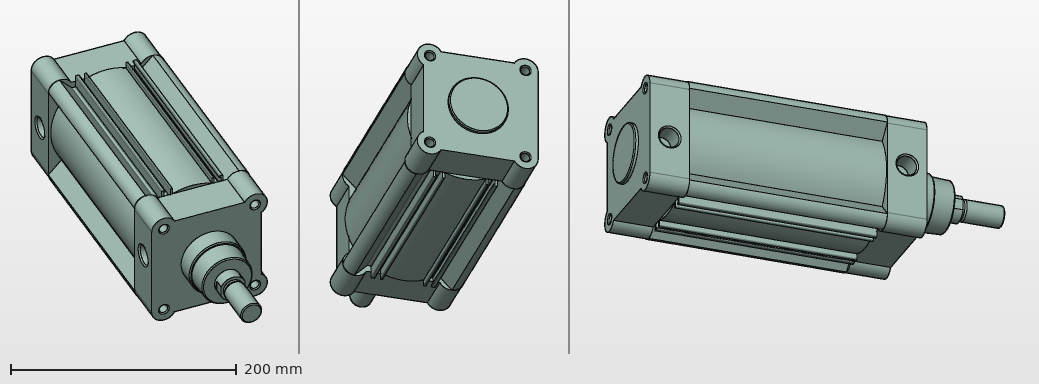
import cadquery as cq
import math


TOLERANCE = 0.05

REAR_BOSS_LENGTH = 3.5
CAP_LENGTH = 37.5
BARREL_LENGTH = 187.5
NOSE_COLLAR_LENGTH = 18.5
NOSE_TAPER_LENGTH = 20.5
TOTAL_LENGTH = 358.0

REAR_CAP_X = REAR_BOSS_LENGTH
BARREL_X = REAR_CAP_X + CAP_LENGTH
FRONT_CAP_X = BARREL_X + BARREL_LENGTH
NOSE_X = FRONT_CAP_X + CAP_LENGTH
TAPER_X = NOSE_X + NOSE_COLLAR_LENGTH
ROD_X = TAPER_X + NOSE_TAPER_LENGTH

SECTION_WIDTH = 112.0
HALF_WIDTH = SECTION_WIDTH / 2
CORNER_SIGNS = [(y_sign, z_sign) for y_sign in (-1, 1) for z_sign in (-1, 1)]

LOBE_RADIUS = 11.8
LOBE_CENTER = HALF_WIDTH - LOBE_RADIUS
CAP_WAIST = 50.0
CORNER_HOLE_DIAMETER = 8.2
CORNER_HOLE_DEPTH = 18.0
PORT_DIAMETER = 18.5
PORT_CHAMFER = 1.5
PORT_DEPTH = 21.5
PORT_OFFSET = 6.0
BOSS_DIAMETER = 55.0
SMALL_CHAMFER = 1.0

TAPER_START_DIAMETER = 51.0
TAPER_END_DIAMETER = 48.7

TUBE_RADIUS = 53.7
COLUMN_RADIUS = 10.7
COLUMN_CENTER = HALF_WIDTH - COLUMN_RADIUS
VALLEY_FILLET = 2.5
RAIL_FLOOR_HEIGHT = 46.5
INNER_RIB_Y = 19.0
INNER_RIB_WIDTH = 2.0
OUTER_RIB_Y = 29.7
OUTER_RIB_WIDTH = 2.0
LIP_WIDTH = 1.5
LIP_HEIGHT = 1.8
RIB_ROOT_HEIGHT = 41.0
RIB_TOP_FILLET = 0.7

ROD_DIAMETER = 25.0
ROD_SHOULDER_LENGTH = 12.0
FLAT_WIDTH = 23.0
FLAT_LENGTH = 9.3
NECK_DIAMETER = 19.0
NECK_LENGTH = 2.5
THREAD_DIAMETER = 20.5
THREAD_LEAD_IN = 1.8


def box(x_range, y_range, z_range):
    """Box between the given limits on each axis."""
    sizes = [high - low for low, high in (x_range, y_range, z_range)]
    corner = (x_range[0], y_range[0], z_range[0])
    return cq.Workplane("XY").box(*sizes, centered=False).translate(corner)


def cylinder(x_start, length, diameter, y=0.0, z=0.0):
    """Round bar along +X."""
    return cq.Workplane("YZ", origin=(x_start, y, z)).circle(diameter / 2).extrude(length)


def chamfered_hole(plane, diameter, depth, chamfer):
    """Cutter for a blind hole with a chamfered mouth, running along the plane's normal."""
    bore = cq.Workplane(plane).circle(diameter / 2).extrude(depth)
    mouth_radius = diameter / 2 + chamfer
    mouth = cq.Solid.makeCone(
        mouth_radius, diameter / 2, chamfer, pnt=plane.origin, dir=plane.zDir
    )
    return bore.union(cq.Workplane(mouth))


def cap_block(x_start, outer_face_x, inward, port_z):
    """Cap block with lobed corners, four corner holes in its outer face and a port on the -Y face."""
    x_range = (x_start, x_start + CAP_LENGTH)
    block = box(x_range, (-LOBE_CENTER, CAP_WAIST), (-CAP_WAIST, CAP_WAIST))
    port_side = box(x_range, (-HALF_WIDTH, -LOBE_CENTER), (-LOBE_CENTER, LOBE_CENTER))
    block = block.union(port_side)
    corners = [(y_sign * LOBE_CENTER, z_sign * LOBE_CENTER) for y_sign, z_sign in CORNER_SIGNS]
    for y, z in corners:
        block = block.union(cylinder(x_start, CAP_LENGTH, 2 * LOBE_RADIUS, y, z))
    for y, z in corners:
        hole_plane = cq.Plane(origin=(outer_face_x, y, z), xDir=(0, 1, 0), normal=(inward, 0, 0))
        corner_hole = chamfered_hole(
            hole_plane, CORNER_HOLE_DIAMETER, CORNER_HOLE_DEPTH, SMALL_CHAMFER
        )
        block = block.cut(corner_hole)
    port_plane = cq.Plane(
        origin=(x_start + CAP_LENGTH / 2, -HALF_WIDTH, port_z), xDir=(1, 0, 0), normal=(0, 1, 0)
    )
    return block.cut(chamfered_hole(port_plane, PORT_DIAMETER, PORT_DEPTH, PORT_CHAMFER))


def make_rear_cap():
    """Rear cap with its shallow centring boss."""
    boss = cylinder(0, REAR_BOSS_LENGTH, BOSS_DIAMETER).faces("<X").chamfer(SMALL_CHAMFER)
    return cap_block(REAR_CAP_X, REAR_CAP_X, 1, -PORT_OFFSET).union(boss)


def make_front_cap():
    """Front cap with a round collar and a tapered nose."""
    collar = cylinder(NOSE_X, NOSE_COLLAR_LENGTH, BOSS_DIAMETER).faces(">X").chamfer(SMALL_CHAMFER)
    taper = (
        cq.Workplane("YZ", origin=(TAPER_X, 0, 0))
        .circle(TAPER_START_DIAMETER / 2)
        .workplane(offset=NOSE_TAPER_LENGTH)
        .circle(TAPER_END_DIAMETER / 2)
        .loft()
        .faces(">X")
        .chamfer(SMALL_CHAMFER)
    )
    return cap_block(FRONT_CAP_X, NOSE_X, -1, PORT_OFFSET).union(collar).union(taper)


def barrel_corner(y_sign, z_sign):
    """Diagonal corner column: a rounded outer corner and two 45 degree flanks."""
    arc_middle = COLUMN_CENTER + COLUMN_RADIUS * math.sqrt(0.5)
    return (
        cq.Workplane("YZ", origin=(BARREL_X, 0, 0))
        .moveTo(0, 0)
        .lineTo(0, z_sign * COLUMN_RADIUS)
        .lineTo(y_sign * COLUMN_CENTER, z_sign * HALF_WIDTH)
        .threePointArc(
            (y_sign * arc_middle, z_sign * arc_middle),
            (y_sign * HALF_WIDTH, z_sign * COLUMN_CENTER),
        )
        .lineTo(y_sign * COLUMN_RADIUS, 0)
        .close()
        .extrude(BARREL_LENGTH)
    )


def is_valley(edge):
    """True for the edges along X where a corner flank meets the top or bottom of the tube."""
    center = edge.Center()
    on_flank = abs(abs(center.z) - abs(center.y) - COLUMN_RADIUS) < TOLERANCE
    on_tube = abs(math.hypot(center.y, center.z) - TUBE_RADIUS) < TOLERANCE
    return on_flank and on_tube


def rail(y_sign, z_sign):
    """Slot cutter and the pair of ribs beside it; the outer rib has a lip over the slot."""

    def strip(y_inner, y_outer, z_low, z_high):
        y_range = sorted((y_sign * y_inner, y_sign * y_outer))
        z_range = sorted((z_sign * z_low, z_sign * z_high))
        return box((BARREL_X, FRONT_CAP_X), y_range, z_range)

    outer_inside = OUTER_RIB_Y - OUTER_RIB_WIDTH
    inner_outside = INNER_RIB_Y + INNER_RIB_WIDTH
    ribs = strip(INNER_RIB_Y, inner_outside, RIB_ROOT_HEIGHT, HALF_WIDTH)
    ribs = ribs.union(strip(outer_inside, OUTER_RIB_Y, RIB_ROOT_HEIGHT, HALF_WIDTH))
    lip = strip(outer_inside - LIP_WIDTH, outer_inside, HALF_WIDTH - LIP_HEIGHT, HALF_WIDTH)
    slot = strip(inner_outside, outer_inside, RAIL_FLOOR_HEIGHT, HALF_WIDTH)
    top_face = ">Z" if z_sign > 0 else "<Z"
    ribs = ribs.union(lip).faces(top_face).edges("|X").fillet(RIB_TOP_FILLET)
    return slot, ribs


def make_barrel():
    """Tube with four corner columns and sensor rails along its top and bottom."""
    barrel = cylinder(BARREL_X, BARREL_LENGTH, 2 * TUBE_RADIUS)
    for y_sign, z_sign in CORNER_SIGNS:
        barrel = barrel.union(barrel_corner(y_sign, z_sign))
    valleys = [edge for edge in barrel.edges("|X").vals() if is_valley(edge)]
    barrel = barrel.newObject(valleys).fillet(VALLEY_FILLET)
    for y_sign, z_sign in CORNER_SIGNS:
        slot, ribs = rail(y_sign, z_sign)
        barrel = barrel.cut(slot).union(ribs)
    return barrel


def make_rod():
    """Rod end with two wrench flats, an undercut neck and a plain threaded length."""
    shoulder_end = ROD_X + ROD_SHOULDER_LENGTH
    thread_x = shoulder_end + NECK_LENGTH
    rod_radius = ROD_DIAMETER / 2
    neck_radius = NECK_DIAMETER / 2
    thread_radius = THREAD_DIAMETER / 2
    profile = [
        (ROD_X, 0),
        (ROD_X, rod_radius),
        (shoulder_end, rod_radius),
        (shoulder_end, neck_radius),
        (thread_x, neck_radius),
        (thread_x + THREAD_LEAD_IN, thread_radius),
        (TOTAL_LENGTH - SMALL_CHAMFER, thread_radius),
        (TOTAL_LENGTH, thread_radius - SMALL_CHAMFER),
        (TOTAL_LENGTH, 0),
    ]
    rod = cq.Workplane("XY").polyline(profile).close().revolve(360, (0, 0), (1, 0))
    flat_x_range = (shoulder_end - FLAT_LENGTH, shoulder_end)
    for y_range in ((-rod_radius, -FLAT_WIDTH / 2), (FLAT_WIDTH / 2, rod_radius)):
        rod = rod.cut(box(flat_x_range, y_range, (-rod_radius, rod_radius)))
    return rod


rear_cap = make_rear_cap()
barrel = make_barrel()
front_cap = make_front_cap()
rod = make_rod()

bodies = [rear_cap, barrel, front_cap, rod]
result = cq.Compound.makeCompound([body.solids().val() for body in bodies])